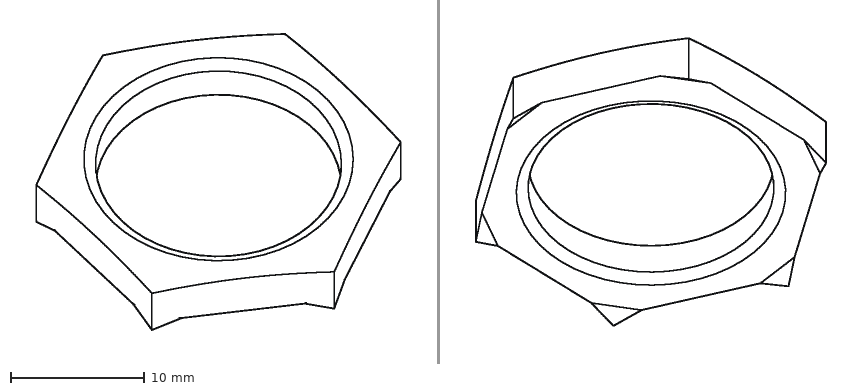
import cadquery as cq
import math

across_corners = 27.7
height = 4.7
bore_diameter = 18.45
countersink_width = 0.9
countersink_angle = 30.0
crown_angle = 15.0
tooth_height = 0.97
tooth_reach = 2.25
side_count = 6

corner_radius = across_corners / 2
flat_radius = corner_radius * math.cos(math.pi / side_count)
bore_radius = bore_diameter / 2
countersink_radius = bore_radius + countersink_width
countersink_depth = countersink_width * math.tan(math.radians(countersink_angle))
crown_drop = (corner_radius - flat_radius) * math.tan(math.radians(crown_angle))
tooth_depth = tooth_reach * math.cos(math.pi / 3)
tooth_half_width = tooth_reach * math.sin(math.pi / 3)


def make_body():
    """Hexagonal prism above the teeth, with two corners on the Y axis."""
    return (
        cq.Workplane("XY")
        .workplane(offset=tooth_height)
        .transformed(rotate=(0, 0, 90))
        .polygon(side_count, across_corners)
        .extrude(height - tooth_height)
    )


def make_crown_envelope():
    """Turned shape whose conical top meets the middle of each flat at full height."""
    return (
        cq.Workplane("XZ")
        .moveTo(0, 0)
        .lineTo(corner_radius, 0)
        .lineTo(corner_radius, height - crown_drop)
        .lineTo(flat_radius, height)
        .lineTo(0, height)
        .close()
        .revolve(360, (0, 0, 0), (0, 1, 0))
    )


def make_bore():
    """Through hole, countersunk at both ends."""
    return (
        cq.Workplane("XZ")
        .moveTo(0, tooth_height)
        .lineTo(countersink_radius, tooth_height)
        .lineTo(bore_radius, tooth_height + countersink_depth)
        .lineTo(bore_radius, height - countersink_depth)
        .lineTo(countersink_radius, height)
        .lineTo(0, height)
        .close()
        .revolve(360, (0, 0, 0), (0, 1, 0))
    )


def make_tooth():
    """Three-sided pyramid under the +Y corner, its tip directly below that corner."""
    corner = cq.Vector(0, corner_radius, tooth_height)
    left = cq.Vector(-tooth_half_width, corner_radius - tooth_depth, tooth_height)
    right = cq.Vector(tooth_half_width, corner_radius - tooth_depth, tooth_height)
    tip = cq.Vector(0, corner_radius, 0)
    triangles = [
        (corner, left, right),
        (corner, left, tip),
        (corner, right, tip),
        (left, right, tip),
    ]
    faces = [
        cq.Face.makeFromWires(cq.Wire.makePolygon(points, close=True))
        for points in triangles
    ]
    return cq.Workplane(cq.Solid.makeSolid(cq.Shell.makeShell(faces)))


result = make_body().intersect(make_crown_envelope()).cut(make_bore())
tooth = make_tooth()
for index in range(side_count):
    angle = index * 360 / side_count
    result = result.union(tooth.rotate((0, 0, 0), (0, 0, 1), angle))